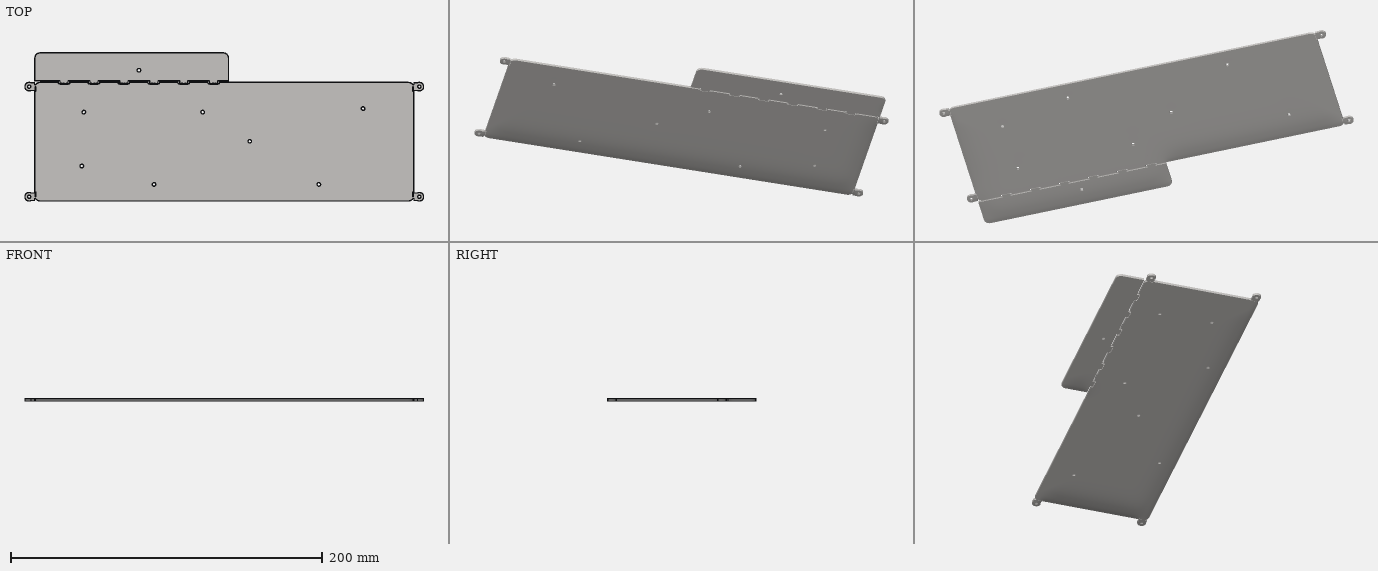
import cadquery as cq

overall_length = 256.2
overall_width = 95.3
thickness = 1.6

board_length = 243.5
board_width = 76.4
strip_length = 124.5
corner_radius = 3.5
slot_width = 0.9

ear_radius = 2.8
ear_edge_offset = 2.8
ear_neck_width = 5.0
ear_hole_diameter = 2.0
notch_depth = 1.5
hole_diameter = 2.2

tongue_count = 6
tongue_pitch = 19.2
tongue_width = 5.5
tongue_depth = 1.0
tongue_row_center_x = -54.8
perforation_diameter = 0.5
perforation_pitch = 0.8
tongue_perforations = 7
ear_perforations = 4
ear_row_inset = 0.5
ear_row_shift = 1.5

board_holes = [
    (-90.2, 9.5),
    (-13.8, 9.5),
    (89.2, 11.8),
    (16.5, -9.2),
    (-91.5, -25.0),
    (-45.0, -37.0),
    (60.7, -37.0),
]
strip_hole = (tongue_row_center_x, 36.5)

board_half = board_length / 2
bottom_y = -overall_width / 2
board_top_y = bottom_y + board_width
board_mid_y = bottom_y + board_width / 2
strip_bottom_y = board_top_y + slot_width
ear_x = overall_length / 2 - ear_radius
ear_y = board_width / 2 - ear_edge_offset


def block(x_start, x_end, y_start, y_end):
    """Full-thickness block between two opposite corners, given in any order."""
    return (
        cq.Workplane("XY")
        .center((x_start + x_end) / 2, (y_start + y_end) / 2)
        .rect(abs(x_end - x_start), abs(y_end - y_start))
        .extrude(thickness)
    )


def cylinders(points, diameter):
    """Full-thickness cylinders at the given points."""
    return cq.Workplane("XY").pushPoints(points).circle(diameter / 2).extrude(thickness)


def main_board():
    board = block(-board_half, board_half, bottom_y, board_top_y)
    return board.edges("|Z").fillet(corner_radius)


def strip():
    body = block(-board_half, -board_half + strip_length, strip_bottom_y, overall_width / 2)
    return body.edges("|Z and >Y").fillet(corner_radius)


def tongue_centers():
    first = tongue_row_center_x - tongue_pitch * (tongue_count - 1) / 2
    return [first + i * tongue_pitch for i in range(tongue_count)]


def perforation_offsets(count):
    return [(i - (count - 1) / 2) * perforation_pitch for i in range(count)]


def add_tongue(body, x):
    """Bridge the gap at x, with rounded slots beside it and a perforated root in the board."""
    root_y = board_top_y - tongue_depth
    slot_end_y = root_y + slot_width / 2
    half = tongue_width / 2
    body = body.union(block(x - half, x + half, root_y, strip_bottom_y))
    for side in (-1, 1):
        slot_inner_x = x + side * half
        slot_outer_x = x + side * (half + slot_width)
        body = body.cut(block(slot_inner_x, slot_outer_x, slot_end_y, strip_bottom_y))
        body = body.cut(cylinders([((slot_inner_x + slot_outer_x) / 2, slot_end_y)], slot_width))
    points = [(x + dx, root_y) for dx in perforation_offsets(tongue_perforations)]
    return body.cut(cylinders(points, perforation_diameter))


def ear(side_x, side_y):
    """Ear that fills a rounded board corner, except for a notch open to the long edge."""
    x = side_x * ear_x
    y = board_mid_y + side_y * ear_y
    inner_x = side_x * (board_half - corner_radius)
    neck = block(x, inner_x, y - ear_neck_width / 2, y + ear_neck_width / 2)
    edge_y = board_mid_y + side_y * board_width / 2
    notch = block(side_x * board_half, inner_x, edge_y - side_y * notch_depth, edge_y)
    return cylinders([(x, y)], 2 * ear_radius).union(neck).cut(notch)


def ear_cutters(side_x, side_y):
    """Mounting hole and perforation row of one ear."""
    y = board_mid_y + side_y * ear_y
    hole = cylinders([(side_x * ear_x, y)], ear_hole_diameter)
    row_x = side_x * (board_half - ear_row_inset)
    row_y = y - side_y * ear_row_shift
    points = [(row_x, row_y + dy) for dy in perforation_offsets(ear_perforations)]
    return hole.union(cylinders(points, perforation_diameter))


corners = [(side_x, side_y) for side_x in (-1, 1) for side_y in (-1, 1)]

result = main_board()
for corner in corners:
    result = result.union(ear(*corner))
result = result.union(strip())
for tongue_x in tongue_centers():
    result = add_tongue(result, tongue_x)
for corner in corners:
    result = result.cut(ear_cutters(*corner))
result = result.cut(cylinders(board_holes + [strip_hole], hole_diameter))